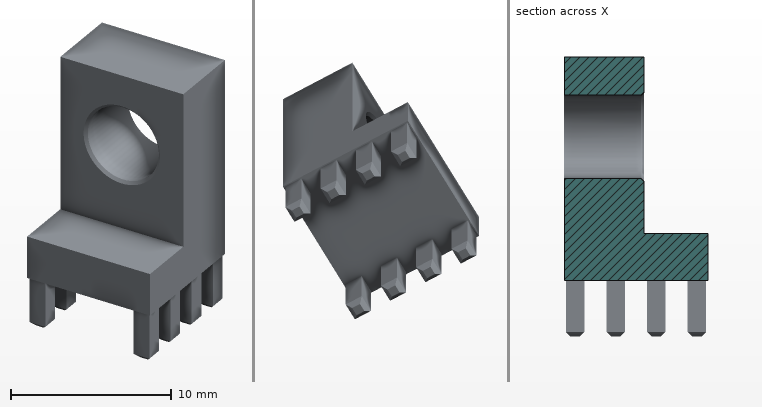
import cadquery as cq

width = 9.0
depth = 9.0
total_height = 17.5
pin_length = 3.5
body_height = total_height - pin_length
upright_thickness = 5.0
foot_height = 3.0

hole_diameter = 5.2
hole_height = 9.0
hole_chamfer = 0.2

pin_side = 1.15
pin_pitch = 2.54
pin_rows = 4
column_spacing = 3 * pin_pitch
tip_chamfer = 0.3


def make_body():
    """L-shaped profile extruded across the width, underside at Z = 0."""
    front = -depth / 2
    back = depth / 2
    upright_front = back - upright_thickness
    profile = [
        (front, 0),
        (back, 0),
        (back, body_height),
        (upright_front, body_height),
        (upright_front, foot_height),
        (front, foot_height),
    ]
    return cq.Workplane("YZ").polyline(profile).close().extrude(width / 2, both=True)


def make_hole():
    """Hole cutter with a chamfered rim at the -Y face of the upright."""
    hole_radius = hole_diameter / 2
    rim_radius = hole_radius + hole_chamfer
    back = depth / 2
    upright_front = back - upright_thickness
    half_section = [
        (0, upright_front),
        (rim_radius, upright_front),
        (hole_radius, upright_front + hole_chamfer),
        (hole_radius, back),
        (0, back),
    ]
    cutter = cq.Workplane("XY").polyline(half_section).close().revolve(360, (0, 0), (0, 1))
    return cutter.translate((0, 0, hole_height))


def make_pin():
    """Square pin hanging below Z = 0, with a tapered tip."""
    pin = cq.Workplane("XY").rect(pin_side, pin_side).extrude(-pin_length)
    return pin.faces("<Z").chamfer(tip_chamfer)


result = make_body().cut(make_hole())

pin = make_pin()
for column_x in (-column_spacing / 2, column_spacing / 2):
    for row in range(pin_rows):
        row_y = (row - (pin_rows - 1) / 2) * pin_pitch
        result = result.union(pin.translate((column_x, row_y, 0)))